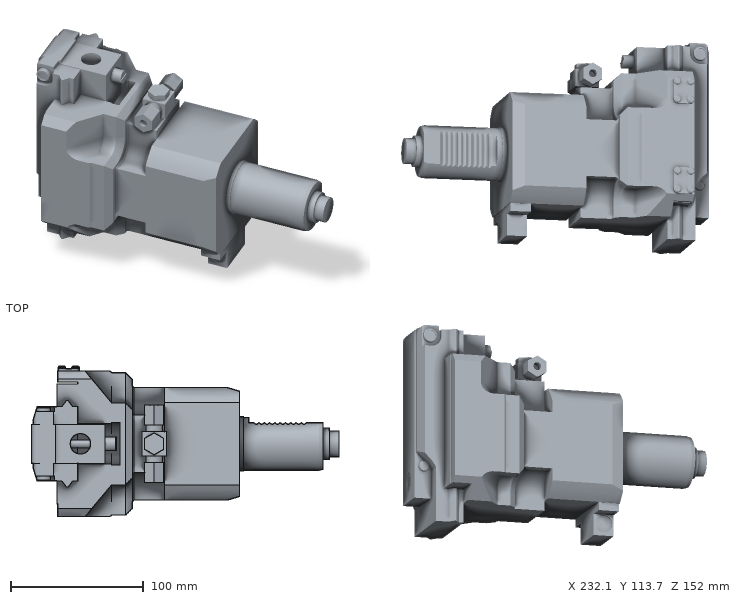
import cadquery as cq
import math


SHANK_R = 20.0
SHANK_END = 63.0
SHANK_FLAT_Y = 16.0
FLAT_START = 7.0
COLLAR_R = 20.6
COLLAR_LEN = 3.0
END_CHAMFER_LEN = 3.0
END_CHAMFER_DROP = 0.8
SPIGOT_R = 12.0
SPIGOT_END = 67.7
TIP_R = 9.8
TIP_END = 75.0
TOOTH_COUNT = 10
TOOTH_PITCH = 4.0
TOOTH_DEPTH = 1.4
FIRST_TOOTH_X = 12.6

BODY_HALF = 42.5
BODY_R = 52.6
REAR_START = -56.7
TAPER_LEN = 9.25
TAPER_DROP = 2.8

NECK_START = -79.7
FLANGE_END = -81.0
FLANGE_CHAMFER = 5.1
FLANGE_CHAMFER_START = FLANGE_END - FLANGE_CHAMFER
BLOCK_END = -96.5
NECK_TOP = 50.1
BLOCK_TOP = 60.4
BODY_BOTTOM = -50.0
NECK_WALL_Y = 21.6
NECK_LEDGE_Z = 21.8
NECK_ARC_R = 10.6
FLANGE_WALL_Y = 30.9
FLANGE_LEDGE_Z = 30.1
FLANGE_ARC_R = 10.2
FLANGE_HALF_Y = 53.8

BLOCK_FACE = -137.2
BLOCK_HALF_Y = 55.0
BLOCK_CHAMFER_START = -98.0
TOP_CORNER = 6.2
BOTTOM_CORNER = 15.0
FRONT_BOTTOM = -39.6
FRONT_BOTTOM_END = -122.3
GUIDE_HALF_Y = 45.3
GUIDE_RAISE = 0.6
GROOVE_WIDTH = 1.2
WALL_OUTER_X = -116.6
RELIEF_FILLET_R = 8.0

SLIDE_FRONT = -144.0
SLIDE_BACK = -122.3
SLIDE_HALF_Y = 28.0
SLIDE_TOP = 83.6
SLIDE_BOTTOM = -65.0
RAIL_X = -130.0
RAIL_ROOT_HALF = 4.2
RAIL_TIP_HALF = 0.7
RAIL_TIP_Y = 32.5
SLIDE_GAP = 0.5
TONGUE_HALF_Y = 14.7
TONGUE_BACK = -101.5
TONGUE_TOP = 84.1
TONGUE_BOTTOM = 48.0
TONGUE_GAP = 0.5
POCKET_END = -90.2
POCKET_HALF_Y = 16.0
POCKET_FLOOR = 40.0
POCKET_FLAT_HALF_Y = 7.8
TONGUE_HOLE_X = -120.1
TONGUE_HOLE_R = 7.7
TONGUE_HOLE_FLOOR = 60.0
SCREW_Z = 75.2
SCREW_R = 3.0
SCREW_HEAD_R = 5.1
SCREW_HEAD_END = -93.0
SCREW_STEP = 0.7

COVER_FRONT = -157.05
COVER_BACK = -138.9
WING_BACK = -140.4
COVER_TOP = 87.0
COVER_ROUND = 5.0
BAR_BOTTOM = -45.0
WING_FRONT = -155.8
WING_SIDE_FRONT = -152.8
WING_FLAT_Y = 18.2
WING_SLANT_START_Z = -8.5
WING_FOOT_Z = -23.4
SLANT_RUN = 8.8
EAR_HALF_Y = 24.3
EAR_BOTTOM = 70.5
EAR_BACK = -139.5
EAR_CORNER_R = 8.0
EAR_SCREW_X = -148.0
EAR_SCREW_Z = 78.7
EAR_SCREW_R = 5.2
EAR_SOCKET_R = 4.0
EAR_SCREW_END_Y = 27.6
LOWER_SCREW_X = -149.9
LOWER_SCREW_Z = -20.4
LOWER_SCREW_R = 3.9
LOWER_SOCKET_R = 3.2
LOWER_SCREW_END_Y = 17.5
PLUG_Z = -29.7
PLUG_RING_R = 7.2
PLUG_HOLE_R = 4.3
SOCKET_DEPTH = 1.0
HEAD_CHAMFER = 0.5
PLUG_STEP = 0.3

FITTING_X = -64.5
FITTING_HALF = 9.2
FITTING_BOTTOM = 53.2
FITTING_TOP = 66.6
FITTING_CAP_TOP = 71.4
FITTING_AXIS_Z = 59.8
HEX_FLATS = 14.3
FITTING_BASE_R = 7.1
FITTING_NECK_R = 6.2
HEX_ARM_START = 14.1
HEX_ARM_END = 29.2
ARM_HOLE_R = 3.0
ARM_HOLE_DEPTH = 8.0

LOWER_FIT_X0 = -16.4
LOWER_FIT_X1 = -0.7
LOWER_PLATE_HALF_Y = 30.5
LOWER_PLATE_BOTTOM = -48.7
LOWER_BLOCK_HALF_Y = 17.0
LOWER_PORT_Z = -55.8
LOWER_PORT_R = 6.7

PLATE_X0 = -137.0
PLATE_X1 = -120.9
PLATE_THICKNESS = 1.8
PLATE_SCREW_TOP_Y = 58.65
PLATE_SCREW_R = 2.9
PLATE_CORNER_R = 2.8
PLATE_HEAD_CHAMFER = 0.9
PLATE_SCREW_XS = (-134.1, -123.8)
PLATE_SCREW_ZS = ((37.2, 51.1), (-31.9, -17.7))

OVERLAP = 1.0


def box(x0, x1, y0, y1, z0, z1):
    return cq.Workplane("XY").box(x1 - x0, y1 - y0, z1 - z0, centered=False).translate((x0, y0, z0))


def cylinder_x(radius, x0, x1, y=0.0, z=0.0):
    return cq.Workplane("YZ", origin=(x0, y, z)).circle(radius).extrude(x1 - x0)


def cylinder_y(radius, y0, y1, x, z):
    return cq.Workplane("XZ", origin=(x, y0, z)).circle(radius).extrude(y0 - y1)


def both_sides(solid):
    """Join a solid with its mirror image across the XZ plane."""
    return solid.union(solid.mirror("XZ"))


def make_shank():
    profile = [
        (0, 0),
        (0, COLLAR_R),
        (COLLAR_LEN, COLLAR_R),
        (COLLAR_LEN, SHANK_R),
        (SHANK_END - END_CHAMFER_LEN, SHANK_R),
        (SHANK_END, SHANK_R - END_CHAMFER_DROP),
        (SHANK_END, SPIGOT_R),
        (SPIGOT_END, SPIGOT_R),
        (SPIGOT_END, TIP_R),
        (TIP_END, TIP_R),
        (TIP_END, 0),
    ]
    shank = cq.Workplane("XY").polyline(profile).close().revolve(360, (0, 0, 0), (1, 0, 0))
    shank = shank.cut(box(FLAT_START, SHANK_END, SHANK_FLAT_Y, 2 * SHANK_R, -SHANK_R, SHANK_R))
    for i in range(TOOTH_COUNT):
        x = FIRST_TOOTH_X + i * TOOTH_PITCH
        groove = [
            (x - TOOTH_PITCH / 2, SHANK_FLAT_Y),
            (x, SHANK_FLAT_Y - TOOTH_DEPTH),
            (x + TOOTH_PITCH / 2, SHANK_FLAT_Y),
        ]
        shank = shank.cut(cq.Workplane("XY").polyline(groove).close().extrude(SHANK_R, both=True))
    return shank


def make_rear_body():
    body = box(REAR_START, 0, -BODY_HALF, BODY_HALF, -BODY_HALF, BODY_HALF)
    body = body.intersect(cylinder_x(BODY_R, REAR_START, 0))
    taper = [
        (-TAPER_LEN, BODY_HALF),
        (0, BODY_HALF - TAPER_DROP),
        (0, BODY_HALF + OVERLAP),
        (-TAPER_LEN, BODY_HALF + OVERLAP),
    ]
    cutter = cq.Workplane("XY").polyline(taper).close().extrude(BODY_HALF, both=True)
    return body.cut(both_sides(cutter))


def stepped_section(x, top, bottom, half_y, wall_y, ledge_z, arc_r, inset=0.0):
    """Wire across X with all four corners relieved by a wall, a concave arc and a ledge.

    The inset shrinks the outline on every side except the bottom.
    """
    centre_y = wall_y + arc_r
    centre_z = ledge_z + arc_r
    wall = wall_y - inset
    ledge = ledge_z - inset
    high = top - inset
    side = half_y - inset
    diagonal = (arc_r + inset) / math.sqrt(2)
    outline = (
        cq.Workplane("YZ", origin=(x, 0, 0))
        .moveTo(-wall, high)
        .lineTo(wall, high)
        .lineTo(wall, centre_z)
        .threePointArc((centre_y - diagonal, centre_z - diagonal), (centre_y, ledge))
        .lineTo(side, ledge)
        .lineTo(side, -ledge)
        .lineTo(centre_y, -ledge)
        .threePointArc((centre_y - diagonal, diagonal - centre_z), (wall, -centre_z))
        .lineTo(wall, bottom)
        .lineTo(-wall, bottom)
        .lineTo(-wall, -centre_z)
        .threePointArc((diagonal - centre_y, diagonal - centre_z), (-centre_y, -ledge))
        .lineTo(-side, -ledge)
        .lineTo(-side, ledge)
        .lineTo(-centre_y, ledge)
        .threePointArc((diagonal - centre_y, centre_z - diagonal), (-wall, centre_z))
        .close()
    )
    return outline


def make_neck():
    size = (NECK_TOP, BODY_BOTTOM, BODY_HALF, NECK_WALL_Y, NECK_LEDGE_Z, NECK_ARC_R)
    return stepped_section(FLANGE_END, *size).extrude(REAR_START - FLANGE_END)


def make_neck_lip():
    """Short outward flare where the neck meets the flange."""
    size = (NECK_TOP, BODY_BOTTOM, BODY_HALF, NECK_WALL_Y, NECK_LEDGE_Z, NECK_ARC_R)
    lip_height = NECK_START - FLANGE_END
    flared = stepped_section(FLANGE_END, *size, inset=-lip_height).wires().val()
    plain = stepped_section(NECK_START, *size).wires().val()
    return cq.Workplane(cq.Solid.makeLoft([flared, plain], True))


def make_flange():
    size = (BLOCK_TOP, BODY_BOTTOM, FLANGE_HALF_Y, FLANGE_WALL_Y, FLANGE_LEDGE_Z, FLANGE_ARC_R)
    straight = stepped_section(BLOCK_END, *size).extrude(FLANGE_CHAMFER_START - BLOCK_END)
    large = stepped_section(FLANGE_CHAMFER_START, *size).wires().val()
    small = stepped_section(FLANGE_END, *size, inset=FLANGE_CHAMFER).wires().val()
    return straight.union(cq.Workplane(cq.Solid.makeLoft([large, small], True)))


def make_corner_relief():
    """Cutter for the upper +Y corner: a slanted upright wall with a rounded foot on a flat ledge."""
    wall_run = BLOCK_END - WALL_OUTER_X
    wall_rise = BLOCK_HALF_Y - FLANGE_WALL_Y
    outward = cq.Vector(wall_rise, wall_run, 0)
    along = cq.Vector(wall_run, -wall_rise, 0)
    plane = cq.Plane(origin=(BLOCK_END, FLANGE_WALL_Y, 0), xDir=outward, normal=along)
    reach = 2 * BLOCK_HALF_Y
    profile = (
        cq.Workplane(plane)
        .moveTo(0, reach)
        .lineTo(0, FLANGE_LEDGE_Z + RELIEF_FILLET_R)
        .radiusArc((RELIEF_FILLET_R, FLANGE_LEDGE_Z), -RELIEF_FILLET_R)
        .lineTo(reach, FLANGE_LEDGE_Z)
        .lineTo(reach, reach)
        .close()
    )
    limit = box(BLOCK_FACE, BLOCK_END, 0, reach, 0, reach)
    return profile.extrude(reach, both=True).intersect(limit)


def make_front_block():
    outline = [
        (BLOCK_HALF_Y - TOP_CORNER, BLOCK_TOP),
        (BLOCK_HALF_Y, BLOCK_TOP - TOP_CORNER),
        (BLOCK_HALF_Y, BODY_BOTTOM + BOTTOM_CORNER),
        (BLOCK_HALF_Y - BOTTOM_CORNER, BODY_BOTTOM),
    ]
    outline += [(-y, z) for y, z in reversed(outline)]
    section = cq.Workplane("YZ", origin=(BLOCK_FACE, 0, 0)).polyline(outline).close()
    block = section.extrude(BLOCK_END - BLOCK_FACE)
    underside = box(
        BLOCK_FACE, FRONT_BOTTOM_END, -BLOCK_HALF_Y, BLOCK_HALF_Y, BODY_BOTTOM, FRONT_BOTTOM
    )
    block = block.cut(underside)

    edge = [
        (BLOCK_CHAMFER_START, BLOCK_HALF_Y),
        (BLOCK_END, FLANGE_HALF_Y),
        (BLOCK_END, BLOCK_HALF_Y),
    ]
    block = block.cut(both_sides(cq.Workplane("XY").polyline(edge).close().extrude(BLOCK_TOP, both=True)))

    upper_reliefs = both_sides(make_corner_relief())
    block = block.cut(upper_reliefs).cut(upper_reliefs.mirror("XY"))

    guide_face = box(
        BLOCK_FACE - GUIDE_RAISE, BLOCK_FACE, -GUIDE_HALF_Y, GUIDE_HALF_Y, FRONT_BOTTOM, BLOCK_TOP
    )
    groove = box(
        BLOCK_FACE, SLIDE_BACK, GUIDE_HALF_Y, GUIDE_HALF_Y + GROOVE_WIDTH, FRONT_BOTTOM, BLOCK_TOP
    )
    return block.union(guide_face).cut(groove)


def cut_tongue_pocket(housing):
    """Open the clearance behind the slide and the round-bottomed pocket around its tongue."""
    gap = box(
        SLIDE_BACK, SLIDE_BACK + SLIDE_GAP, -SLIDE_HALF_Y, SLIDE_HALF_Y, FRONT_BOTTOM, BLOCK_TOP
    )
    housing = housing.cut(gap)
    snug_half_y = TONGUE_HALF_Y + TONGUE_GAP
    for x0, x1, half_y in ((SLIDE_BACK, BLOCK_END, snug_half_y), (BLOCK_END, POCKET_END, POCKET_HALF_Y)):
        pocket = box(x0, x1, -half_y, half_y, POCKET_FLOOR, BLOCK_TOP)
        housing = housing.cut(pocket.edges("|X and <Z").fillet(half_y - POCKET_FLAT_HALF_Y))
    return housing


def make_slide():
    """Upright slide with a wedge rail on each side and a tongue reaching back at the top."""
    half = [
        (SLIDE_FRONT, SLIDE_HALF_Y),
        (RAIL_X - RAIL_ROOT_HALF, SLIDE_HALF_Y),
        (RAIL_X - RAIL_TIP_HALF, RAIL_TIP_Y),
        (RAIL_X + RAIL_TIP_HALF, RAIL_TIP_Y),
        (RAIL_X + RAIL_ROOT_HALF, SLIDE_HALF_Y),
        (SLIDE_BACK, SLIDE_HALF_Y),
    ]
    outline = half + [(x, -y) for x, y in reversed(half)]
    slide = cq.Workplane("XY", origin=(0, 0, SLIDE_BOTTOM)).polyline(outline).close()
    slide = slide.extrude(SLIDE_TOP - SLIDE_BOTTOM)
    tongue = box(
        COVER_BACK, TONGUE_BACK, -TONGUE_HALF_Y, TONGUE_HALF_Y, TONGUE_BOTTOM, TONGUE_TOP
    )
    hole = cq.Workplane("XY", origin=(TONGUE_HOLE_X, 0, TONGUE_HOLE_FLOOR)).circle(TONGUE_HOLE_R)
    return slide.union(tongue).cut(hole.extrude(TONGUE_TOP - TONGUE_HOLE_FLOOR))


def make_clamp_screw():
    """Screw along X that crosses the tongue hole; the upper half of its head is shorter."""
    shaft = cylinder_x(SCREW_R, TONGUE_HOLE_X - TONGUE_HOLE_R - OVERLAP, TONGUE_BACK, z=SCREW_Z)
    head = cylinder_x(SCREW_HEAD_R, TONGUE_BACK, SCREW_HEAD_END, z=SCREW_Z)
    step = box(
        SCREW_HEAD_END - SCREW_STEP,
        SCREW_HEAD_END,
        -SCREW_HEAD_R,
        SCREW_HEAD_R,
        SCREW_Z,
        SCREW_Z + SCREW_HEAD_R,
    )
    return shaft.union(head.cut(step))


def make_cover_bar():
    bar = box(COVER_FRONT, SLIDE_FRONT, -TONGUE_HALF_Y, TONGUE_HALF_Y, BAR_BOTTOM, COVER_TOP)
    bar = bar.edges("<X and >Z").fillet(COVER_ROUND)
    back = box(SLIDE_FRONT, COVER_BACK, -TONGUE_HALF_Y, TONGUE_HALF_Y, SLIDE_TOP, COVER_TOP)
    for radius, depth in ((PLUG_RING_R, PLUG_STEP), (PLUG_HOLE_R, 2 * PLUG_STEP)):
        bar = bar.cut(cylinder_x(radius, COVER_FRONT, COVER_FRONT + depth, z=PLUG_Z))
    return bar.union(back)


def make_cover_wings():
    """Slanted side wings: a plan outline trimmed to the rounded top and sloping foot.

    The recesses for the upper screws are returned as a separate cutter.
    """
    half = [
        (WING_BACK, SLIDE_HALF_Y),
        (WING_SIDE_FRONT, SLIDE_HALF_Y),
        (WING_FRONT, WING_FLAT_Y),
    ]
    outline = half + [(x, -y) for x, y in reversed(half)]
    plan = cq.Workplane("XY", origin=(0, 0, WING_FOOT_Z)).polyline(outline).close()
    plan = plan.extrude(COVER_TOP - WING_FOOT_Z)

    slant_end_x = COVER_FRONT + SLANT_RUN
    slant_end_z = WING_SLANT_START_Z - SLANT_RUN
    side = (
        cq.Workplane("XZ")
        .moveTo(WING_BACK, COVER_TOP)
        .lineTo(WING_FRONT + COVER_ROUND, COVER_TOP)
        .radiusArc((WING_FRONT, COVER_TOP - COVER_ROUND), -COVER_ROUND)
        .lineTo(WING_FRONT, WING_SLANT_START_Z + COVER_FRONT - WING_FRONT)
        .lineTo(slant_end_x, slant_end_z)
        .tangentArcPoint((SLIDE_FRONT, WING_FOOT_Z), relative=False)
        .lineTo(WING_BACK, WING_FOOT_Z)
        .close()
        .extrude(SLIDE_HALF_Y, both=True)
    )
    wings = plan.intersect(side)

    recess = box(COVER_FRONT, EAR_BACK, EAR_HALF_Y, SLIDE_HALF_Y + OVERLAP, EAR_BOTTOM, COVER_TOP)
    recess = recess.edges("|Y and >X and <Z").fillet(EAR_CORNER_R)
    return wings, both_sides(recess)


def make_side_screw(radius, socket_r, y0, y1, x, z):
    """Screw head on the -Y side standing out from y0 to y1, with a blind socket."""
    head = cylinder_y(radius, -y0, -y1, x, z)
    head = head.faces("<Y").edges().chamfer(HEAD_CHAMFER)
    return head.cut(cylinder_y(socket_r, SOCKET_DEPTH - y1, -y1, x, z))


def make_head_assembly():
    wings, recesses = make_cover_wings()
    head = make_slide().union(wings).cut(recesses).union(make_cover_bar())
    ear_screw = make_side_screw(
        EAR_SCREW_R, EAR_SOCKET_R, EAR_HALF_Y, EAR_SCREW_END_Y, EAR_SCREW_X, EAR_SCREW_Z
    )
    lower_screw = make_side_screw(
        LOWER_SCREW_R, LOWER_SOCKET_R, TONGUE_HALF_Y, LOWER_SCREW_END_Y, LOWER_SCREW_X, LOWER_SCREW_Z
    )
    return head.union(both_sides(ear_screw)).union(both_sides(lower_screw))


def make_top_fitting():
    corner_diameter = HEX_FLATS * 2 / math.sqrt(3)
    base = cq.Workplane("XY", origin=(FITTING_X, 0, NECK_TOP)).circle(FITTING_BASE_R)
    fitting = base.extrude(FITTING_BOTTOM - NECK_TOP)
    x0 = FITTING_X - FITTING_HALF
    x1 = FITTING_X + FITTING_HALF
    fitting = fitting.union(box(x0, x1, -FITTING_HALF, FITTING_HALF, FITTING_BOTTOM, FITTING_TOP))
    cap = cq.Workplane("XY", origin=(FITTING_X, 0, FITTING_TOP)).polygon(6, corner_diameter)
    cap = cap.extrude(FITTING_CAP_TOP - FITTING_TOP)
    fitting = fitting.union(cap.rotate((FITTING_X, 0, 0), (FITTING_X, 0, 1), 90))

    neck = cylinder_y(FITTING_NECK_R, -FITTING_HALF, -HEX_ARM_START, FITTING_X, FITTING_AXIS_Z)
    nut = cq.Workplane("XZ", origin=(FITTING_X, -HEX_ARM_START, FITTING_AXIS_Z))
    nut = nut.polygon(6, corner_diameter).extrude(HEX_ARM_END - HEX_ARM_START)
    nut = nut.rotate((FITTING_X, 0, FITTING_AXIS_Z), (FITTING_X, 1, FITTING_AXIS_Z), 90)
    bore = cylinder_y(ARM_HOLE_R, ARM_HOLE_DEPTH - HEX_ARM_END, -HEX_ARM_END, FITTING_X, FITTING_AXIS_Z)
    return fitting.union(both_sides(neck.union(nut).cut(bore)))


def make_lower_fitting():
    plate = box(
        LOWER_FIT_X0, LOWER_FIT_X1, -LOWER_PLATE_HALF_Y, LOWER_PLATE_HALF_Y, LOWER_PLATE_BOTTOM, -BODY_HALF
    )
    block = box(
        LOWER_FIT_X0, LOWER_FIT_X1, -LOWER_BLOCK_HALF_Y, LOWER_BLOCK_HALF_Y, SLIDE_BOTTOM, LOWER_PLATE_BOTTOM
    )
    centre_x = (LOWER_FIT_X0 + LOWER_FIT_X1) / 2
    port = cylinder_y(
        LOWER_PORT_R, SOCKET_DEPTH - LOWER_BLOCK_HALF_Y, -LOWER_BLOCK_HALF_Y, centre_x, LOWER_PORT_Z
    )
    return plate.union(block).cut(port)


def make_side_plate(screw_zs):
    low, high = screw_zs
    plate_top_y = BLOCK_HALF_Y + PLATE_THICKNESS
    plate = box(
        PLATE_X0, PLATE_X1, BLOCK_HALF_Y, plate_top_y, low - PLATE_SCREW_R, high + PLATE_SCREW_R
    )
    plate = plate.edges("|Y").fillet(PLATE_CORNER_R)
    for x in PLATE_SCREW_XS:
        for z in screw_zs:
            head = cylinder_y(PLATE_SCREW_R, PLATE_SCREW_TOP_Y, plate_top_y, x, z)
            plate = plate.union(head.faces(">Y").edges().chamfer(PLATE_HEAD_CHAMFER))
    return plate


housing = make_front_block().union(make_flange()).union(make_neck()).union(make_neck_lip())
housing = cut_tongue_pocket(housing)
result = housing.union(make_rear_body()).union(make_shank())
result = result.union(make_head_assembly()).union(make_clamp_screw())
result = result.union(make_top_fitting()).union(make_lower_fitting())
for screw_zs in PLATE_SCREW_ZS:
    result = result.union(make_side_plate(screw_zs))